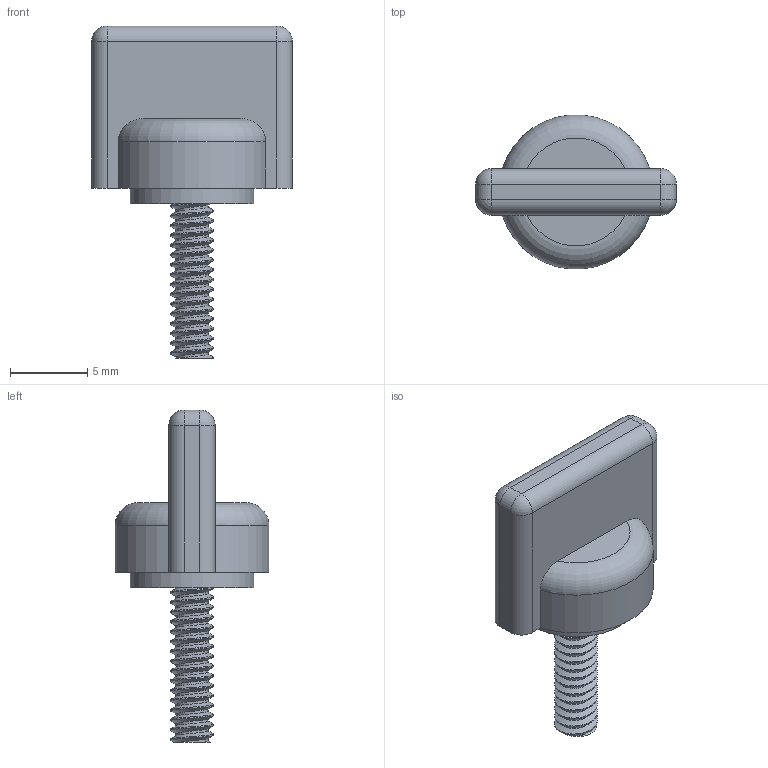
import cadquery as cq
import math


blade_length = 13.0
blade_thickness = 3.0
blade_height = 10.5
blade_round = 1.0

hub_diameter = 10.0
hub_height = 4.5
hub_round = 1.5
collar_diameter = 8.0
collar_height = 1.0

shank_length = 10.0
major_diameter = 2.78
threads_per_inch = 40
inch = 25.4
pitch = inch / threads_per_inch
thread_angle = 60.0
flank_slope = math.tan(math.radians(thread_angle / 2))
sharp_height = pitch / 2 / flank_slope
thread_depth = sharp_height * 5 / 8
crest_width = pitch / 8

major_radius = major_diameter / 2
minor_radius = major_radius - thread_depth
root_overlap = 0.05
overrun_turns = 2

collar_bottom = -collar_height
shank_bottom = collar_bottom - shank_length


def grip_blade():
    """Upright plate with rounded vertical edges and a rounded top rim."""
    plate = cq.Workplane("XY").box(
        blade_length, blade_thickness, blade_height, centered=(True, True, False)
    )
    return plate.edges("|Z").fillet(blade_round).faces(">Z").edges().fillet(blade_round)


def hub():
    """Round hub with a rounded upper rim."""
    disc = cq.Workplane("XY").circle(hub_diameter / 2).extrude(hub_height)
    return disc.faces(">Z").edges().fillet(hub_round)


def collar():
    """Plain disc that spaces the hub from the clamped surface."""
    return cq.Workplane("XY").circle(collar_diameter / 2).extrude(collar_bottom)


def thread_ridge():
    """Helical ridge overrunning both shank ends, its crest meeting the tip plane on the +X side."""
    ridge_bottom = shank_bottom - overrun_turns * pitch
    turns = math.ceil(shank_length / pitch) + 2 * overrun_turns
    base_radius = minor_radius - root_overlap
    half_crest = crest_width / 2
    half_base = half_crest + (major_radius - base_radius) * flank_slope

    path = cq.Wire.makeHelix(pitch, turns * pitch, minor_radius, cq.Vector(0, 0, ridge_bottom))
    profile = cq.Workplane("XZ").polyline([
        (base_radius, ridge_bottom - half_base),
        (major_radius, ridge_bottom - half_crest),
        (major_radius, ridge_bottom + half_crest),
        (base_radius, ridge_bottom + half_base),
    ]).close()
    return profile.sweep(cq.Workplane(obj=path), isFrenet=True)


def threaded_shank():
    """Core cylinder with the ridge, trimmed flat at the tip and under the collar."""
    base = cq.Workplane("XY").workplane(offset=shank_bottom)
    core = base.circle(minor_radius).extrude(shank_length)
    trim = base.circle(major_diameter).extrude(shank_length)
    return core.union(thread_ridge().intersect(trim))


head = grip_blade().union(hub()).union(collar())
result = head.union(threaded_shank())